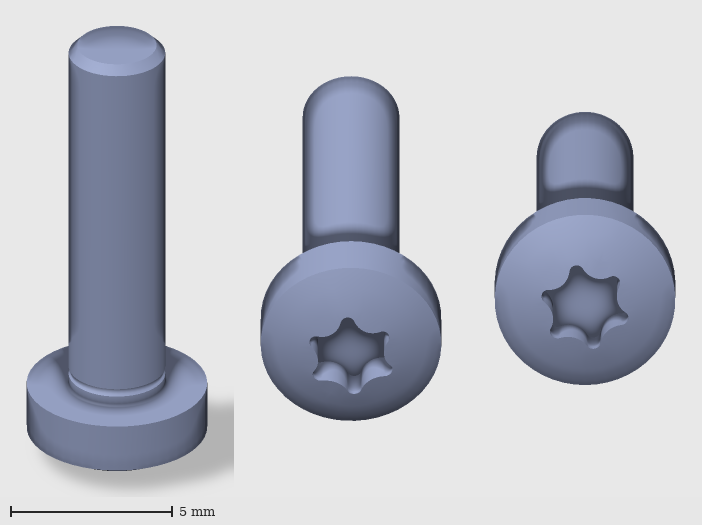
import cadquery as cq
import math

total_height = 14.3
head_radius = 2.8
dome_height = 0.76
head_top = 2.32

shank_radius = 1.5
tip_chamfer = 0.27
neck_fillet = 0.09
groove_depth = 0.26
groove_bottom = 2.66
groove_top = groove_bottom + groove_depth

lobe_count = 6
recess_outer_radius = 1.4
recess_inner_radius = 1.03
lobe_radius = 0.23
recess_depth = 1.15

dome_center_z = (head_radius**2 + dome_height**2 - recess_inner_radius**2) / (2 * dome_height)
dome_radius = math.hypot(recess_inner_radius, dome_center_z)
dome_apex_z = dome_center_z - dome_radius


def polar(radius, angle):
    return (radius * math.cos(angle), radius * math.sin(angle))


def make_body():
    """Revolve the half profile of the head, neck and shank."""
    mid_angle = math.asin(head_radius / dome_radius) / 2
    dome_middle = (
        dome_radius * math.sin(mid_angle),
        dome_center_z - dome_radius * math.cos(mid_angle),
    )
    fillet_center = (shank_radius + neck_fillet, head_top + neck_fillet)
    fillet_middle = (
        fillet_center[0] - neck_fillet * math.sqrt(0.5),
        fillet_center[1] - neck_fillet * math.sqrt(0.5),
    )
    profile = (
        cq.Workplane("XZ")
        .moveTo(0, dome_apex_z)
        .threePointArc(dome_middle, (head_radius, dome_height))
        .lineTo(head_radius, head_top)
        .lineTo(fillet_center[0], head_top)
        .threePointArc(fillet_middle, (shank_radius, fillet_center[1]))
        .lineTo(shank_radius, groove_bottom)
        .lineTo(shank_radius - groove_depth, groove_top)
        .lineTo(shank_radius, groove_top)
        .lineTo(shank_radius, total_height - tip_chamfer)
        .lineTo(shank_radius - tip_chamfer, total_height)
        .lineTo(0, total_height)
        .close()
    )
    return profile.revolve(360, (0, 0, 0), (0, 1, 0))


def make_recess():
    """Six-lobed prism: convex lobe arcs tangent to the inward arcs between them."""
    half_pitch = math.pi / lobe_count
    lobe_center = recess_outer_radius - lobe_radius
    lobe_center_along = lobe_center * math.cos(half_pitch)

    flute_radius = (
        lobe_center**2 + recess_inner_radius**2
        - 2 * lobe_center_along * recess_inner_radius - lobe_radius**2
    ) / (2 * (lobe_radius + lobe_center_along - recess_inner_radius))
    flute_center = recess_inner_radius + flute_radius

    share = lobe_radius / (lobe_radius + flute_radius)
    flute_x, flute_y = polar(flute_center, half_pitch)
    tangent_x = lobe_center + share * (flute_x - lobe_center)
    tangent_y = share * flute_y
    tangent_radius = math.hypot(tangent_x, tangent_y)
    tangent_angle = math.atan2(tangent_y, tangent_x)

    first_lobe = math.pi / 2
    outline = cq.Workplane("XY", origin=(0, 0, dome_apex_z)).moveTo(
        *polar(tangent_radius, first_lobe - tangent_angle)
    )
    for index in range(lobe_count):
        lobe = first_lobe + index * 2 * half_pitch
        outline = outline.threePointArc(
            polar(recess_outer_radius, lobe),
            polar(tangent_radius, lobe + tangent_angle),
        )
        outline = outline.threePointArc(
            polar(recess_inner_radius, lobe + half_pitch),
            polar(tangent_radius, lobe + 2 * half_pitch - tangent_angle),
        )
    return outline.close().extrude(recess_depth - dome_apex_z)


result = make_body().cut(make_recess())